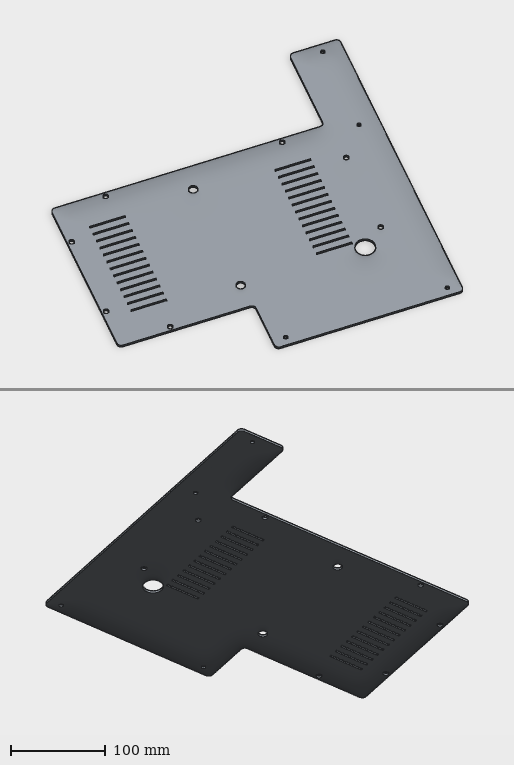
import cadquery as cq

LENGTH_X = 362.5
LENGTH_Y = 367.0
THICKNESS = 3.0

BODY_WIDTH = 197.6
ARM_LENGTH = 102.4
ARM_HEIGHT = 57.0
TAB_HEIGHT = 213.0
CORNER_RADIUS = 5.0

LEFT = -LENGTH_X / 2
RIGHT = LENGTH_X / 2
BOTTOM = -LENGTH_Y / 2
TOP = LENGTH_Y / 2
BODY_LEFT = LEFT + ARM_LENGTH
BODY_RIGHT = BODY_LEFT + BODY_WIDTH
BODY_CENTRE_X = (BODY_LEFT + BODY_RIGHT) / 2
ARM_BOTTOM = TOP - ARM_HEIGHT
TAB_BOTTOM = TOP - TAB_HEIGHT

BODY_HOLE_DIAMETER = 6.0
BODY_HOLE_INSET = 5.0
END_HOLE_SPACING_X = 100.0
END_HOLE_SPACING_Y = 311.0
SIDE_HOLE_LOWER_Y = BOTTOM + 60.5
SIDE_HOLE_SPACING_Y = 200.0

SMALL_HOLE_DIAMETER = 4.5
ARM_HOLE_INSET_X = 10.0
ARM_HOLE_INSET_Y = 22.5
ARM_HOLE_SPACING = 105.0
TAB_HOLE_INSET_X = 10.0
TAB_HOLE_INSET_Y = 15.0
TAB_HOLE_SPACING = 183.0

MID_HOLE_DIAMETER = 10.0
MID_HOLE_SPACING = 138.0
MID_HOLE_Y = BOTTOM + 150.0
OPENING_DIAMETER = 22.0
OPENING_X = RIGHT - 92.0
OPENING_Y = TOP - 76.0

SLOT_COUNT = 13
SLOT_PITCH = 10.0
SLOT_WIDTH = 2.0
SLOT_LENGTH = 40.0
SLOT_BANK_CENTRE_X = RIGHT - 162.5
LOWER_SLOT_CENTRE_Y = BOTTOM + 50.0
UPPER_SLOT_CENTRE_Y = LOWER_SLOT_CENTRE_Y + 210.0


def make_plate():
    """Flat plate with every corner of its outline rounded."""
    return (
        cq.Workplane("XY")
        .moveTo(LEFT, TOP)
        .lineTo(RIGHT, TOP)
        .lineTo(RIGHT, TAB_BOTTOM)
        .lineTo(BODY_RIGHT, TAB_BOTTOM)
        .lineTo(BODY_RIGHT, BOTTOM)
        .lineTo(BODY_LEFT, BOTTOM)
        .lineTo(BODY_LEFT, ARM_BOTTOM)
        .lineTo(LEFT, ARM_BOTTOM)
        .close()
        .extrude(THICKNESS)
        .edges("|Z")
        .fillet(CORNER_RADIUS)
    )


def drill(plate, centres, diameter):
    """Cut round through holes at the given centres."""
    cutter = cq.Workplane("XY").pushPoints(centres).circle(diameter / 2).extrude(THICKNESS)
    return plate.cut(cutter)


def body_hole_centres():
    """Two holes near each end of the body and two near its sides, plus one upper left."""
    centres = []
    end_hole_y = BOTTOM + BODY_HOLE_INSET
    for y in (end_hole_y, end_hole_y + END_HOLE_SPACING_Y):
        for side in (-1, 1):
            centres.append((BODY_CENTRE_X + side * END_HOLE_SPACING_X / 2, y))
    left_x = BODY_LEFT + BODY_HOLE_INSET
    right_x = BODY_RIGHT - BODY_HOLE_INSET
    centres.append((left_x, SIDE_HOLE_LOWER_Y))
    centres.append((right_x, SIDE_HOLE_LOWER_Y))
    centres.append((left_x, SIDE_HOLE_LOWER_Y + SIDE_HOLE_SPACING_Y))
    return centres


def small_hole_centres():
    """A horizontal pair starting in the arm and a vertical pair along the right edge."""
    arm_x = LEFT + ARM_HOLE_INSET_X
    arm_y = TOP - ARM_HOLE_INSET_Y
    tab_x = RIGHT - TAB_HOLE_INSET_X
    tab_y = TOP - TAB_HOLE_INSET_Y
    return [
        (arm_x, arm_y),
        (arm_x + ARM_HOLE_SPACING, arm_y),
        (tab_x, tab_y),
        (tab_x, tab_y - TAB_HOLE_SPACING),
    ]


def mid_hole_centres():
    """A pair placed symmetrically about the body centreline."""
    return [(BODY_CENTRE_X + side * MID_HOLE_SPACING / 2, MID_HOLE_Y) for side in (-1, 1)]


def cut_slot_bank(plate, centre_y):
    """Cut one row of straight, square-ended ventilation slots."""
    first_x = SLOT_BANK_CENTRE_X - SLOT_PITCH * (SLOT_COUNT - 1) / 2
    centres = [(first_x + i * SLOT_PITCH, centre_y) for i in range(SLOT_COUNT)]
    slots = cq.Workplane("XY").pushPoints(centres).rect(SLOT_WIDTH, SLOT_LENGTH).extrude(THICKNESS)
    return plate.cut(slots)


result = make_plate()
result = drill(result, body_hole_centres(), BODY_HOLE_DIAMETER)
result = drill(result, small_hole_centres(), SMALL_HOLE_DIAMETER)
result = drill(result, mid_hole_centres(), MID_HOLE_DIAMETER)
result = drill(result, [(OPENING_X, OPENING_Y)], OPENING_DIAMETER)
for slot_centre_y in (LOWER_SLOT_CENTRE_Y, UPPER_SLOT_CENTRE_Y):
    result = cut_slot_bank(result, slot_centre_y)